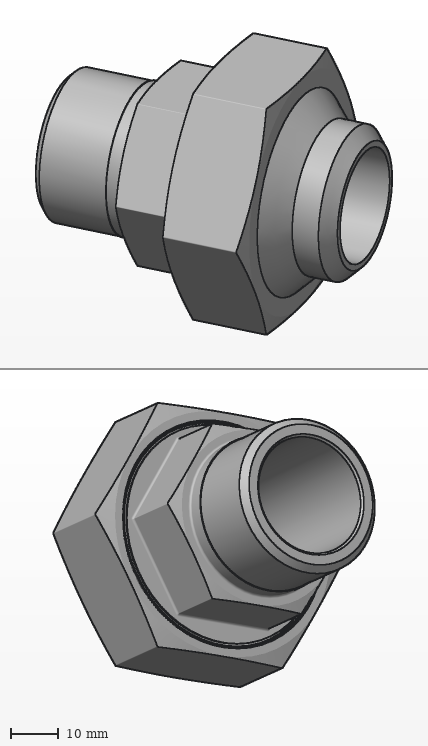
import cadquery as cq
import math

TOTAL_LENGTH = 68.5

THREAD_DIAMETER = 33.25
THREAD_LENGTH = 16.8
THREAD_END_CHAMFER = 1.5
NECK_DIAMETER = 33.55
NECK_FILLET = 0.5

SMALL_HEX_FLATS = 38.0
SMALL_HEX_START = 20.6
SMALL_HEX_EDGE_RADIUS = 0.2
SMALL_HEX_BASE_FILLET = 0.5

NUT_START = 35.0
NUT_LENGTH = 19.0
NUT_FLATS = 53.0
NUT_EDGE_RADIUS = 0.29
HEX_CHAMFER_ANGLE = 15.0
HEX_CHAMFER_INSET = 0.1

RECESS_INNER_RADIUS = 23.5
RECESS_OUTER_RADIUS = 24.5
RECESS_DEPTH = 0.3
GAP_INNER_RADIUS = 24.0
GAP_OUTER_RADIUS = 24.15
GAP_DEPTH = 1.0

WELD_END_DIAMETER = 33.7
WELD_BEVEL = 3.0
CONE_END = 59.5

BORE_DIAMETER = 25.0
BORE_CHAMFER = 0.5

FACE_TOLERANCE = 0.01

NUT_END = NUT_START + NUT_LENGTH
SMALL_HEX_LENGTH = NUT_START - SMALL_HEX_START


def revolve_profile(points):
    """Revolve a closed outline of (x, radius) points about the X axis."""
    return cq.Workplane("XY").polyline(points).close().revolve(360, (0, 0, 0), (1, 0, 0))


def hex_prism(start, length, flats):
    """Hexagonal bar along X with flats at top and bottom and corners on +Y and -Y."""
    corner_diameter = flats / math.cos(math.pi / 6)
    return cq.Workplane("YZ", origin=(start, 0, 0)).polygon(6, corner_diameter).extrude(length)


def hex_chamfer_envelope(start, length, flats, chamfer_far_end):
    """Solid of revolution that trims the corners of a hexagon at its end faces."""
    face_radius = flats / 2 - HEX_CHAMFER_INSET
    outer_radius = flats
    run = (outer_radius - face_radius) * math.tan(math.radians(HEX_CHAMFER_ANGLE))
    end = start + length
    points = [(start, 0), (start, face_radius), (start + run, outer_radius)]
    if chamfer_far_end:
        points += [(end - run, outer_radius), (end, face_radius), (end, 0)]
    else:
        points += [(end, outer_radius), (end, 0)]
    return revolve_profile(points)


def make_spigot():
    """Threaded end and plain neck, flaring into the face of the small hexagon."""
    thread_radius = THREAD_DIAMETER / 2
    neck_radius = NECK_DIAMETER / 2
    fillet_start = SMALL_HEX_START - NECK_FILLET
    fillet_top = neck_radius + NECK_FILLET
    fillet_reach = NECK_FILLET * math.sqrt(0.5)
    fillet_middle = (fillet_start + fillet_reach, fillet_top - fillet_reach)
    return (
        cq.Workplane("XY")
        .moveTo(0, 0)
        .lineTo(0, thread_radius - THREAD_END_CHAMFER)
        .lineTo(THREAD_END_CHAMFER, thread_radius)
        .lineTo(THREAD_LENGTH, thread_radius)
        .lineTo(THREAD_LENGTH, neck_radius)
        .lineTo(fillet_start, neck_radius)
        .threePointArc(fillet_middle, (SMALL_HEX_START, fillet_top))
        .lineTo(NUT_START, fillet_top)
        .lineTo(NUT_START, 0)
        .close()
        .revolve(360, (0, 0, 0), (1, 0, 0))
    )


def make_small_hex():
    """Small hexagon with rounded corners, chamfered at the spigot end only."""
    prism = hex_prism(SMALL_HEX_START, SMALL_HEX_LENGTH, SMALL_HEX_FLATS)
    prism = prism.edges("|X").fillet(SMALL_HEX_EDGE_RADIUS)
    envelope = hex_chamfer_envelope(SMALL_HEX_START, SMALL_HEX_LENGTH, SMALL_HEX_FLATS, False)
    return prism.intersect(envelope)


def make_nut():
    """Union nut hexagon with rounded corners, chamfered at both ends."""
    prism = hex_prism(NUT_START, NUT_LENGTH, NUT_FLATS).edges("|X").fillet(NUT_EDGE_RADIUS)
    return prism.intersect(hex_chamfer_envelope(NUT_START, NUT_LENGTH, NUT_FLATS, True))


def make_weld_end():
    """Cone leaving the nut at 45 degrees, then the bevelled pipe end."""
    weld_radius = WELD_END_DIAMETER / 2
    cone_radius = weld_radius + CONE_END - NUT_END
    return revolve_profile([
        (NUT_END, 0),
        (NUT_END, cone_radius),
        (CONE_END, weld_radius),
        (TOTAL_LENGTH - WELD_BEVEL, weld_radius),
        (TOTAL_LENGTH, weld_radius - WELD_BEVEL),
        (TOTAL_LENGTH, 0),
    ])


def fillet_small_hex_base(body):
    """Round the inside corner where the small hexagon meets the collar face."""
    collar_face = cq.selectors.BoxSelector(
        (NUT_START - FACE_TOLERANCE, -NUT_FLATS, -NUT_FLATS),
        (NUT_START + FACE_TOLERANCE, NUT_FLATS, NUT_FLATS),
    )
    outlines = body.faces(collar_face).wires().vals()
    hex_outline = min(outlines, key=lambda wire: wire.Length())
    return body.newObject(hex_outline.Edges()).fillet(SMALL_HEX_BASE_FILLET)


def make_gap():
    """Shallow ring recess in the nut face with a narrow, deeper gap in its floor."""
    recess_floor = NUT_START + RECESS_DEPTH
    gap_floor = NUT_START + GAP_DEPTH
    return revolve_profile([
        (NUT_START, RECESS_INNER_RADIUS),
        (recess_floor, RECESS_INNER_RADIUS),
        (recess_floor, GAP_INNER_RADIUS),
        (gap_floor, GAP_INNER_RADIUS),
        (gap_floor, GAP_OUTER_RADIUS),
        (recess_floor, GAP_OUTER_RADIUS),
        (recess_floor, RECESS_OUTER_RADIUS),
        (NUT_START, RECESS_OUTER_RADIUS),
    ])


def make_bore():
    """Through bore with a chamfered mouth at the threaded end."""
    bore_radius = BORE_DIAMETER / 2
    return revolve_profile([
        (0, 0),
        (0, bore_radius + BORE_CHAMFER),
        (BORE_CHAMFER, bore_radius),
        (TOTAL_LENGTH, bore_radius),
        (TOTAL_LENGTH, 0),
    ])


body = make_spigot().union(make_small_hex()).union(make_nut())
body = fillet_small_hex_base(body)
body = body.union(make_weld_end())
result = body.cut(make_gap()).cut(make_bore())